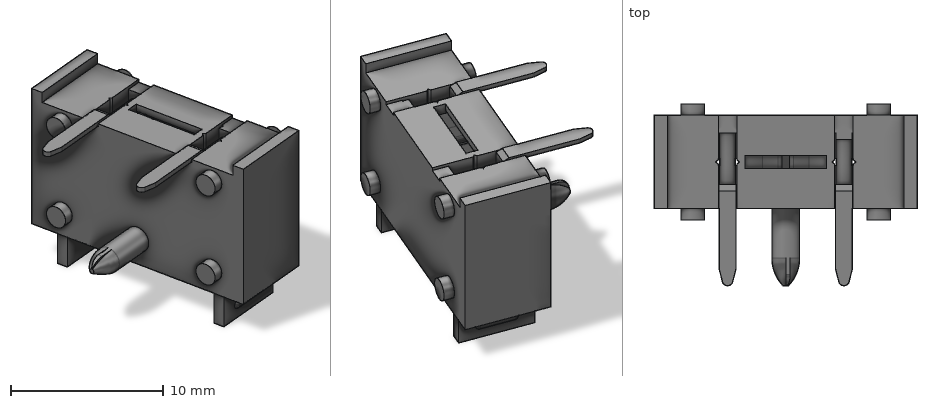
import cadquery as cq
import math

length = 17.27
depth = 6.13
top_z = 9.6
front_y = -depth / 2
back_y = depth / 2

ear_width = 0.86
ear_height = 0.76

leg_height = 2.54
leg_depth = 5.45
leg_outer_x = 6.79
leg_thickness = 0.81
bump_radius = 0.28
bump_reach = 0.22
bump_length = 3.07
bump_drop = 1.54

base_height = 0.75
base_bevel = 0.75

peg_diameter = 1.55
peg_length = 0.75
peg_x = 6.1
peg_low_z = 1.76
peg_high_z = 8.58

reach = 5.06
tip_y = front_y - reach
pin_radius = 0.92
pin_z = 1.92
nose_length = 1.81
nose_end_radius = 0.17
crest_angle = 18.0
ramp_length = 2.38

terminal_x = 3.82
terminal_width = 1.12
terminal_thickness = 0.35
terminal_lift = 0.12
terminal_taper = 1.12
terminal_end_width = 0.67
terminal_end_rise = 0.25
bevel_run = 0.43
bevel_drop = 0.2
groove_width = 1.21
groove_depth = terminal_thickness - terminal_lift

pocket_back_y = back_y - 1.15
pocket_front_y = -1.49
contact_radius = 0.52
pocket_depth = 1.25
tongue_length = 0.43
slit_width = 0.45
notch_width = 0.28
notch_depth = 0.17

window_length = 5.35
window_width = 0.85
window_lip = 0.54
chamber_width = 1.9
chamber_depth = 1.12
ramp_run = 1.14
ramp_rise = 0.35
trench_width = 0.98
trench_depth = 0.41
trench_radius = 0.25


def box(x_min, x_max, y_min, y_max, z_min, z_max):
    """Box given by its limits on each axis."""
    size = (x_max - x_min, y_max - y_min, z_max - z_min)
    return cq.Workplane("XY").box(*size, centered=False).translate((x_min, y_min, z_min))


def make_block():
    """Main block with an ear along each end of its top."""
    return (
        cq.Workplane("XZ")
        .moveTo(-length / 2, 0)
        .lineTo(length / 2, 0)
        .lineTo(length / 2, top_z + ear_height)
        .lineTo(length / 2 - ear_width, top_z + ear_height)
        .lineTo(length / 2 - ear_width, top_z)
        .lineTo(-length / 2 + ear_width, top_z)
        .lineTo(-length / 2 + ear_width, top_z + ear_height)
        .lineTo(-length / 2, top_z + ear_height)
        .close()
        .extrude(depth / 2, both=True)
    )


def make_leg():
    """Leg on the +X side with a round-ended snap bump."""
    leg = box(leg_outer_x - leg_thickness, leg_outer_x, -leg_depth / 2, leg_depth / 2, -leg_height, 0)
    straight = bump_length - 2 * bump_radius
    bump = cq.Workplane("XZ").circle(bump_radius).extrude(straight / 2, both=True)
    for end_y in (-straight / 2, straight / 2):
        bump = bump.union(cq.Workplane("XY").sphere(bump_radius).translate((0, end_y, 0)))
    return leg.union(bump.translate((leg_outer_x + bump_reach - bump_radius, 0, -bump_drop)))


def make_base():
    """Bar between the legs with bevelled front and back."""
    inner_x = leg_outer_x - leg_thickness
    half = leg_depth / 2
    return (
        cq.Workplane("YZ")
        .polyline([
            (-half, 0),
            (-half + base_bevel, -base_height),
            (half - base_bevel, -base_height),
            (half, 0),
        ])
        .close()
        .extrude(inner_x, both=True)
    )


def make_pegs():
    """Four pegs passing through the block, standing proud front and back."""
    places = [(x, z) for x in (-peg_x, peg_x) for z in (peg_low_z, peg_high_z)]
    return (
        cq.Workplane("XZ")
        .pushPoints(places)
        .circle(peg_diameter / 2)
        .extrude(depth / 2 + peg_length, both=True)
    )


def turned_pin(nose_run, angle):
    """Pin turned about its Y axis, its nose an arc tangent to the shank."""
    drop = pin_radius - nose_end_radius
    arc_radius = (drop**2 + nose_run**2) / (2 * drop)
    half_angle = math.asin(nose_run / arc_radius) / 2
    arc_mid = (
        pin_radius - arc_radius * (1 - math.cos(half_angle)),
        tip_y + nose_run - arc_radius * math.sin(half_angle),
    )
    return (
        cq.Workplane("XY")
        .moveTo(0, front_y)
        .lineTo(pin_radius, front_y)
        .lineTo(pin_radius, tip_y + nose_run)
        .threePointArc(arc_mid, (nose_end_radius, tip_y))
        .lineTo(0, tip_y)
        .close()
        .revolve(angle, (0, 0, 0), (0, 1, 0))
    )


def make_pin():
    """Locating pin with a fuller crest on top and a flat ramp underneath."""
    crest = turned_pin(pin_radius - nose_end_radius, crest_angle)
    body = turned_pin(nose_length, 360 - crest_angle).rotate((0, 0, 0), (0, 1, 0), crest_angle)
    pin = body.union(crest).rotate((0, 0, 0), (0, 1, 0), -90)
    ramp = (
        cq.Workplane("YZ")
        .polyline([
            (tip_y, -nose_end_radius),
            (tip_y + ramp_length, -pin_radius),
            (tip_y, -pin_radius),
        ])
        .close()
        .extrude(pin_radius, both=True)
    )
    return pin.cut(ramp).translate((0, 0, pin_z))


def make_terminal_bevel():
    """Wedge taken off the top of a terminal at its rear edge."""
    crown_z = top_z + terminal_lift
    return (
        cq.Workplane("YZ")
        .polyline([
            (pocket_front_y, crown_z),
            (pocket_front_y - bevel_run, crown_z),
            (pocket_front_y, crown_z - bevel_drop),
        ])
        .close()
        .extrude(terminal_width / 2, both=True)
    )


def make_terminal():
    """Flat terminal with a tapered, rounded tip and a bevelled rear edge."""
    half = terminal_width / 2
    half_end = terminal_end_width / 2
    return (
        cq.Workplane("XY")
        .workplane(offset=top_z - groove_depth)
        .moveTo(half, pocket_front_y)
        .lineTo(half, tip_y + terminal_taper)
        .lineTo(half_end, tip_y + terminal_end_rise)
        .threePointArc((0, tip_y), (-half_end, tip_y + terminal_end_rise))
        .lineTo(-half, tip_y + terminal_taper)
        .lineTo(-half, pocket_front_y)
        .close()
        .extrude(terminal_thickness)
        .cut(make_terminal_bevel())
    )


def make_terminal_cut():
    """Groove, contact pocket and through slit with notched ends for one terminal."""
    half = groove_width / 2
    groove = box(-half, half, front_y, back_y, top_z - groove_depth, top_z)
    pocket = box(-half, half, pocket_front_y, pocket_back_y, top_z - pocket_depth, top_z)
    slit = (
        cq.Workplane("XY")
        .workplane(offset=-base_height)
        .polyline([
            (-half, -slit_width / 2),
            (half, -slit_width / 2),
            (half, -notch_width / 2),
            (half + notch_depth, 0),
            (half, notch_width / 2),
            (half, slit_width / 2),
            (-half, slit_width / 2),
            (-half, notch_width / 2),
            (-half - notch_depth, 0),
            (-half, -notch_width / 2),
        ])
        .close()
        .extrude(base_height + top_z)
    )
    return groove.union(pocket).union(slit)


def make_contact():
    """Round contact lying along the pocket floor."""
    return (
        cq.Workplane("XZ", origin=(0, pocket_back_y, top_z - pocket_depth))
        .circle(contact_radius)
        .extrude(pocket_back_y - pocket_front_y)
    )


def make_tongue():
    """Short ledge reaching into the pocket from its rear wall."""
    return box(
        -contact_radius, contact_radius,
        pocket_back_y - tongue_length, pocket_back_y,
        top_z - pocket_depth, top_z - groove_depth,
    )


def make_window_cut():
    """Window and the chamber under it, with ramped ends and a round-shouldered trench."""
    window = box(
        -window_length / 2, window_length / 2,
        -window_width / 2, window_width / 2,
        top_z - chamber_depth + ramp_rise, top_z,
    )
    half = window_length / 2
    half_trench = trench_width / 2
    floor_z = top_z - chamber_depth
    trench_z = floor_z - trench_depth
    round_z = floor_z - trench_radius
    bow = trench_radius * math.sqrt(0.5)
    chamber = (
        cq.Workplane("XZ")
        .moveTo(-half, top_z - window_lip)
        .lineTo(-half, floor_z + ramp_rise)
        .lineTo(-half + ramp_run, floor_z)
        .lineTo(-half_trench, floor_z)
        .threePointArc(
            (-half_trench + bow, round_z + bow),
            (-half_trench + trench_radius, round_z),
        )
        .lineTo(-half_trench + trench_radius, trench_z)
        .lineTo(half_trench - trench_radius, trench_z)
        .lineTo(half_trench - trench_radius, round_z)
        .threePointArc((half_trench - bow, round_z + bow), (half_trench, floor_z))
        .lineTo(half - ramp_run, floor_z)
        .lineTo(half, floor_z + ramp_rise)
        .lineTo(half, top_z - window_lip)
        .close()
        .extrude(chamber_width / 2, both=True)
    )
    return window.union(chamber)


leg = make_leg()
result = (
    make_block()
    .union(make_base())
    .union(leg)
    .union(leg.mirror("YZ"))
    .union(make_pegs())
    .union(make_pin())
    .cut(make_window_cut())
)

for side_x in (-terminal_x, terminal_x):
    place = (side_x, 0, 0)
    result = (
        result.cut(make_terminal_cut().translate(place))
        .union(make_contact().translate(place))
        .union(make_terminal().translate(place))
    )

result = result.union(make_tongue().translate((terminal_x, 0, 0)))